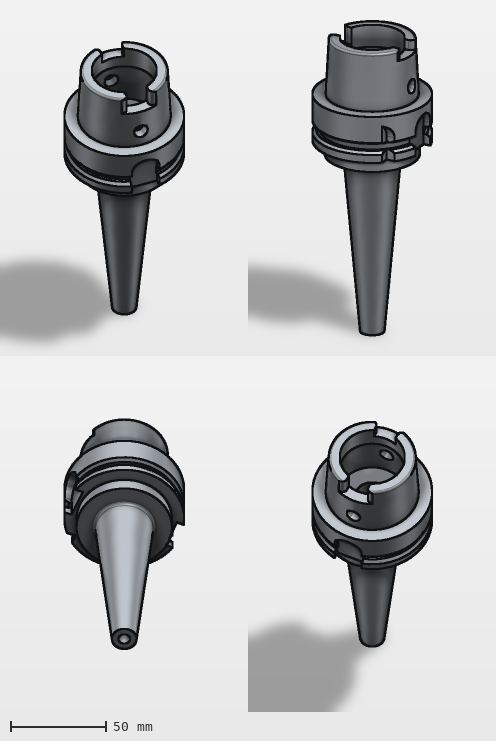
import cadquery as cq
import math

height = 167.0
flange_top = 135.0
groove_top_edge = 120.0
groove_top = 118.7
groove_bottom = 114.7
groove_bottom_edge = 113.2
flange_bottom = 108.7
collar_bottom = 100.9

flange_diameter = 63.0
flange_radius = flange_diameter / 2
groove_lip_radius = 29.4
groove_radius = 27.5
collar_radius = 25.0
neck_radius = 15.2
neck_fillet = 1.7
tip_radius = 6.5
shank_base_diameter = 49.0
shank_base_radius = shank_base_diameter / 2
shank_taper = 1 / 20
shank_top_radius = shank_base_radius - shank_taper * (height - flange_top)
shank_fillet = 1.2

mouth_radius = 17.0
mouth_depth = 12.5
undercut_radius = 18.5
cavity_floor = 130.3
tube_seat_radius = 9.0
tube_seat_floor = 120.2
coolant_radius = 4.0
coolant_floor = 110.2
tool_bore_radius = 3.0
bore_chamfer = 0.5

cross_hole_radius = 3.8
cross_hole_height = 144.1

key_width = 12.4
key_corner_radius = 2.5
left_key_depth = 5.7
right_key_depth = 9.7

slot_radius = 7.8
slot_top = 130.0
slot_center_height = slot_top - slot_radius
slot_floor = 26.5
notch_offset = 19.7


def make_body():
    """Revolve the outer shape: tapered nose, collar, grooved flange and shank."""
    arc_drop = neck_fillet * math.sin(math.pi / 4)
    return (
        cq.Workplane("XZ")
        .lineTo(tip_radius, 0)
        .lineTo(neck_radius, collar_bottom - neck_fillet)
        .threePointArc(
            (neck_radius + neck_fillet - arc_drop, collar_bottom - neck_fillet + arc_drop),
            (neck_radius + neck_fillet, collar_bottom),
        )
        .lineTo(collar_radius, collar_bottom)
        .lineTo(collar_radius, flange_bottom)
        .lineTo(flange_radius, flange_bottom)
        .lineTo(flange_radius, groove_bottom_edge)
        .lineTo(groove_lip_radius, groove_bottom)
        .lineTo(groove_radius, groove_bottom)
        .lineTo(groove_radius, groove_top)
        .lineTo(groove_lip_radius, groove_top)
        .lineTo(flange_radius, groove_top_edge)
        .lineTo(flange_radius, flange_top)
        .lineTo(shank_base_radius, flange_top)
        .lineTo(shank_top_radius, height)
        .lineTo(0, height)
        .close()
        .revolve(360, (0, 0, 0), (0, 1, 0))
        .faces(">Z")
        .edges()
        .fillet(shank_fillet)
    )


def make_bore():
    """Revolve the undercut clamping cavity and the stepped bore down to the tip."""
    undercut_start = height - mouth_depth
    return (
        cq.Workplane("XZ")
        .lineTo(tool_bore_radius, 0)
        .lineTo(tool_bore_radius, coolant_floor - bore_chamfer)
        .lineTo(tool_bore_radius + bore_chamfer, coolant_floor)
        .lineTo(coolant_radius, coolant_floor)
        .lineTo(coolant_radius, tube_seat_floor)
        .lineTo(tube_seat_radius, tube_seat_floor)
        .lineTo(tube_seat_radius, cavity_floor)
        .lineTo(undercut_radius, cavity_floor)
        .lineTo(undercut_radius, undercut_start)
        .lineTo(mouth_radius, undercut_start)
        .lineTo(mouth_radius, height)
        .lineTo(0, height)
        .close()
        .revolve(360, (0, 0, 0), (0, 1, 0))
    )


def make_key_slot(side, depth):
    """Key slot on one side (-1 or +1 along X), flared by rounded outer corners.

    Each corner arc touches the slot wall and the shank circle.
    """
    half_width = key_width / 2
    arc_y = half_width + key_corner_radius
    arc_center_distance = shank_top_radius - key_corner_radius
    arc_x = math.sqrt(arc_center_distance**2 - arc_y**2)
    touch_scale = shank_top_radius / arc_center_distance
    touch_x = arc_x * touch_scale
    touch_y = arc_y * touch_scale
    middle_angle = (math.atan2(arc_y, arc_x) - math.pi / 2) / 2
    middle_x = arc_x + key_corner_radius * math.cos(middle_angle)
    middle_y = arc_y + key_corner_radius * math.sin(middle_angle)
    return (
        cq.Workplane("XY", origin=(0, 0, height - depth))
        .moveTo(0, -half_width)
        .lineTo(side * arc_x, -half_width)
        .threePointArc((side * middle_x, -middle_y), (side * touch_x, -touch_y))
        .lineTo(side * flange_radius, -touch_y)
        .lineTo(side * flange_radius, touch_y)
        .lineTo(side * touch_x, touch_y)
        .threePointArc((side * middle_x, middle_y), (side * arc_x, half_width))
        .lineTo(0, half_width)
        .close()
        .extrude(depth)
    )


def make_flange_slot(side, center_y, floor):
    """Round-topped slot, open through the flange bottom and outward along X."""
    return (
        cq.Workplane("YZ", origin=(side * floor, 0, 0))
        .moveTo(center_y - slot_radius, flange_bottom)
        .lineTo(center_y - slot_radius, slot_center_height)
        .threePointArc((center_y, slot_top), (center_y + slot_radius, slot_center_height))
        .lineTo(center_y + slot_radius, flange_bottom)
        .close()
        .extrude(side * flange_radius)
    )


cross_hole = (
    cq.Workplane("YZ")
    .center(0, cross_hole_height)
    .circle(cross_hole_radius)
    .extrude(flange_radius, both=True)
)

result = make_body().cut(make_bore()).cut(cross_hole)
for side, key_depth in ((-1, left_key_depth), (1, right_key_depth)):
    result = result.cut(make_key_slot(side, key_depth))
    result = result.cut(make_flange_slot(side, 0, slot_floor))

result = result.cut(make_flange_slot(-1, notch_offset + slot_radius, notch_offset))